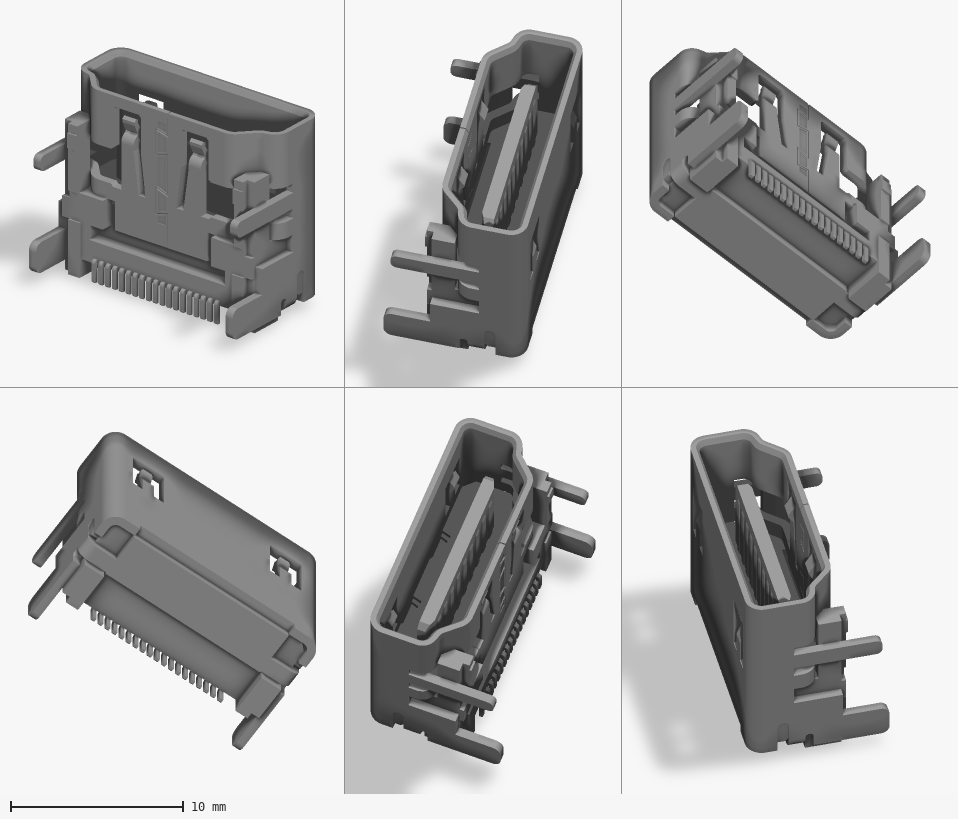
import cadquery as cq
import math


half_width = 7.5
part_top = 12.15
shell_depth = 5.55
wall = 0.52
shell_bottom = 0.68
shell_skirt = 5.38
corner_radius = 0.99
waist_radius = 0.5
front_radius = 1.05
shoulder_y = -3.92
waist_x, waist_y = 6.3, -4.25
front_half_width = 5.08
rim_land = 0.33
rim_depth = 0.33

tab_half_width = 3.38
tab_bottom = 3.52
seam_right, seam_left = 0.5, -0.39
seam_gap = 0.08
coin_left, coin_right = -0.25, 0.38
coin_bottom, coin_top = 4.92, 11.46
coin_depth = 0.05
coin_margin = 0.14
window_bottom, window_top = 6.44, 8.67
window_back = -2.68
window_inner_x = 3.68

spring_root = 6.27
spring_outer_x, spring_inner_x = 2.92, 2.02
spring_root_inner_x = 1.65
front_bend = 9.28
flare_top = 9.0

back_window_inner_x, back_window_outer_x = 3.76, 5.98
back_window_top = 9.75
back_spring_width = 0.81
back_spring_tip = 9.42
back_spring_clip_width, back_spring_clip_height = 0.18, 0.27

strap_bottom, strap_top = 7.05, 8.07
strap_end = -7.96
strap_radius = 0.38
leg_end = -8.38
leg_bottom, leg_top = 0.63, 2.6
leg_radius = 0.51
plate_end = -5.61
plate_top = 4.25
long_slot_back, long_slot_front, long_slot_top = -1.71, -2.37, 2.8
short_slot_back, short_slot_front, short_slot_top = -3.36, -3.87, 1.58
bend_radius = 0.69
floor_plate_bottom = 0.57
floor_plate_half_width = 5.48
floor_plate_back = -0.6
floor_plate_front = -3.45

housing_half_width = half_width - wall
housing_front = -5.92
housing_bottom = 1.17
housing_floor = 5.37
housing_back_chamfer = 0.63
post_front = -6.06
post_top = 9.68
post_inner_x = 5.76
post_outer_x = 6.44
post_back = -4.28
post_slope = 0.58
foot_inner_x = 5.6
foot_back = -3.46
step_y = -5.65
step_bottom = 4.86
crush_rib_front = -6.18
crush_rib_bottom, crush_rib_top = 8.16, 9.1
tab_pocket_half_width = 3.99
tab_pocket_back = -5.05
slot_half_width = 5.0
slot_bottom = 2.58
floor_bevel_back = -4.8
side_key_bottom = 1.29
side_key_chamfer = 0.21
side_key_inset = 0.05
key_center_x = 2.3
key_back_half_width, key_front_half_width = 0.98, 0.81
key_front = -1.11
key_depth = 0.3
key_step = 0.22

tongue_half_width = 5.38
tongue_flat_half_width = 4.68
tongue_back, tongue_shoulder, tongue_front = -2.38, -2.88, -3.2
tongue_top = 10.12
tongue_end_bevel = 0.36
contact_pitch = 3 / 3
back_contact_count, front_contact_count = 10, 9
contact_width = 0.45
contact_height = 0.06
contact_top = 9.39
contact_tip = 0.24
tail_count = back_contact_count + front_contact_count
tail_width = 0.25
tail_bottom, tail_top = 0.05, 1.5
tail_front = -6.18
tail_bend = 0.24
tail_tip = 0.08


def block(x0, x1, y0, y1, z0, z1):
    """Box between two corners given as coordinate ranges."""
    return cq.Workplane("XY").box(x1 - x0, y1 - y0, z1 - z0, centered=False).translate((x0, y0, z0))


def plan_prism(points, z0, z1):
    """Prism over an XY outline."""
    return cq.Workplane("XY").workplane(offset=z0).polyline(points).close().extrude(z1 - z0)


def front_prism(points, y_front, y_back):
    """Prism over an XZ outline, running in Y."""
    return cq.Workplane("XZ", origin=(0, y_front, 0)).polyline(points).close().extrude(y_front - y_back)


def side_prism(points, x0, x1):
    """Prism over a YZ outline, running in X."""
    return cq.Workplane("YZ").workplane(offset=x0).polyline(points).close().extrude(x1 - x0)


def both_sides(shape):
    """The shape together with its mirror image across X = 0."""
    return shape.union(shape.mirror("YZ"))


def merge(shapes):
    """Union of all the shapes."""
    solids = [shape.val() for shape in shapes]
    return cq.Workplane(solids[0].fuse(*solids[1:]))


def shell_core(inset, z0, z1, taper=0):
    """Prism over the shell outline, offset inwards by the inset."""
    corners = [
        (half_width, 0, corner_radius),
        (half_width, shoulder_y, corner_radius),
        (waist_x, waist_y, waist_radius),
        (front_half_width, -shell_depth, front_radius),
    ]
    right = [(x, y) for x, y, radius in corners]
    left = [(-x, y) for x, y in reversed(right)]
    prism = plan_prism(right + left, 0, 0.15)
    for x, y, radius in corners:
        for side in (1, -1):
            edge = cq.selectors.NearestToPointSelector((side * x, y, 0.08))
            prism = prism.edges("|Z").edges(edge).fillet(radius)
    outline = prism.faces("<Z").wires().val()
    if inset:
        outline = outline.offset2D(-inset)[0]
    outline = outline.translate(cq.Vector(0, 0, z0))
    return cq.Workplane("XY").add(outline).toPending().extrude(z1 - z0, taper=taper)


def shell_tube():
    tube = shell_core(0, shell_bottom, part_top).cut(shell_core(wall, shell_bottom, part_top))
    rim_taper = math.degrees(math.atan((wall - rim_land) / rim_depth))
    lead_in = shell_core(rim_land, 0, rim_depth, rim_taper).mirror("XY").translate((0, 0, part_top))
    below_skirt = block(-half_width, half_width, -shell_depth, window_back, 0, shell_skirt)
    centre_tab = block(
        -tab_half_width, tab_half_width, -shell_depth, wall - shell_depth, tab_bottom, shell_skirt
    )
    back_gap = block(-floor_plate_half_width, floor_plate_half_width, -wall, 0, 0, housing_bottom)
    return tube.cut(lead_in).cut(below_skirt).union(centre_tab).cut(back_gap)


def corner_window():
    """Opening that wraps from the side wall around to the front wall."""
    return block(window_inner_x, half_width, -shell_depth, window_back, window_bottom, window_top)


def front_spring_opening():
    outline = [
        (window_inner_x, window_top), (3.48, 8.82), (3.48, 11.3), (3.33, 11.45), (1.64, 11.45), (1.48, 11.3),
        (1.48, flare_top), (1.14, spring_root), (3.52, spring_root), (window_inner_x, window_bottom),
    ]
    return front_prism(outline, -shell_depth, wall - shell_depth)


def front_spring():
    """Flared blade in the plane of the wall, with a head that dips inwards and back out."""
    blade = [
        (spring_outer_x, spring_root), (spring_outer_x, front_bend), (spring_inner_x, front_bend),
        (spring_inner_x, flare_top), (spring_root_inner_x, spring_root),
    ]
    blade_body = front_prism(blade, -shell_depth, wall - shell_depth)
    head = (
        cq.Workplane("YZ", origin=(spring_inner_x, 0, 0))
        .moveTo(-shell_depth, front_bend)
        .threePointArc((-5.46, 9.6), (-5.18, 9.84))
        .lineTo(-5.13, 9.95)
        .lineTo(-5.43, 10.56)
        .lineTo(-5.46, 10.78)
        .lineTo(-5.28, 10.95)
        .lineTo(-5.13, 10.86)
        .lineTo(-5.1, 10.59)
        .lineTo(-4.7, 9.95)
        .lineTo(-4.7, 9.84)
        .lineTo(wall - shell_depth, front_bend)
        .close()
        .extrude(spring_outer_x - spring_inner_x)
    )
    return blade_body.union(head)


def back_spring_opening():
    return block(back_window_inner_x, back_window_outer_x, -wall, 0, spring_root, back_window_top)


def back_spring():
    """Straight blade in the back wall whose head dips inwards and back out to a clipped tip."""
    profile = [
        (0, spring_root), (0, 7.65), (-0.38, 8.55), (-0.1, 9.3),
        (-0.48, back_spring_tip), (-0.8, 8.76), (-0.8, 8.55), (-wall, 7.8), (-wall, spring_root),
    ]
    half = back_spring_width / 2
    blade = side_prism(profile, -half, half)
    clip = [
        (half, back_spring_tip - back_spring_clip_height), (half, back_spring_tip),
        (half - back_spring_clip_width, back_spring_tip),
    ]
    blade = blade.cut(both_sides(front_prism(clip, -wall, 0)))
    center_x = (back_window_inner_x + back_window_outer_x) / 2
    return blade.translate((center_x, 0, 0))


def seam_strip(half_gap):
    """Prism along the dovetailed joint of the front wall."""
    path = [
        (seam_right, part_top + coin_margin), (seam_right, 10.65), (seam_left, 10.89), (seam_left, 9.24),
        (seam_right, 9.5), (seam_right, 6.84), (seam_left, 7.14), (seam_left, 5.46),
        (seam_right, 5.75), (seam_right, tab_bottom - coin_margin),
    ]
    line = cq.Workplane("XZ", origin=(0, wall - shell_depth, 0)).polyline(path)
    return line.offset2D(half_gap, "arc").extrude(wall)


def coined_strip():
    strip = block(coin_left, coin_right, -shell_depth, coin_depth - shell_depth, coin_bottom, coin_top)
    return strip.cut(seam_strip(coin_margin))


def round_slot(y_front, y_back, z_top):
    """Vertical slot in a side wall, open at the bottom and round at the top."""
    radius = (y_back - y_front) / 2
    x_inner = half_width - wall
    straight = block(x_inner, half_width, y_front, y_back, 0, z_top - radius)
    cap = cq.Workplane("YZ", origin=(x_inner, 0, 0)).center(y_back - radius, z_top - radius)
    return straight.union(cap.circle(radius).extrude(wall))


def strap():
    bar = block(half_width - wall, half_width, strap_end, window_back, strap_bottom, strap_top)
    return bar.edges("|X and <Y").fillet(strap_radius)


def leg():
    """Side plate below the skirt with its long solder leg."""
    profile = [
        (window_back, plate_top), (plate_end, plate_top), (plate_end, leg_top), (leg_end, leg_top),
        (leg_end, leg_bottom), (short_slot_front, leg_bottom), (short_slot_front, shell_bottom),
        (window_back, shell_bottom),
    ]
    plate = side_prism(profile, half_width - wall, half_width)
    return plate.edges("|X and <Y").fillet(leg_radius)


def bent_tab():
    """Tab of the side wall folded in under the housing."""
    bend_z = floor_plate_bottom + bend_radius
    bend_x = half_width - bend_radius
    inner_radius = bend_radius - wall
    diagonal = math.sqrt(0.5)
    section = (
        cq.Workplane("XZ", origin=(0, long_slot_front, 0))
        .moveTo(half_width, bend_z)
        .threePointArc(
            (bend_x + bend_radius * diagonal, bend_z - bend_radius * diagonal), (bend_x, floor_plate_bottom)
        )
        .lineTo(0, floor_plate_bottom)
        .lineTo(0, floor_plate_bottom + wall)
        .lineTo(bend_x, floor_plate_bottom + wall)
        .threePointArc(
            (bend_x + inner_radius * diagonal, bend_z - inner_radius * diagonal), (half_width - wall, bend_z)
        )
        .close()
    )
    return section.extrude(long_slot_front - short_slot_back)


def tab_clearance():
    """Room in the side wall for the bend of the folded tab."""
    return block(
        half_width - wall, half_width, short_slot_back, long_slot_front, 0, floor_plate_bottom + bend_radius
    )


def floor_plate():
    return block(
        -floor_plate_half_width, floor_plate_half_width, floor_plate_front, floor_plate_back,
        floor_plate_bottom, floor_plate_bottom + wall,
    )


def metal_shell():
    openings = merge([corner_window(), front_spring_opening(), back_spring_opening()])
    shell = shell_tube().cut(both_sides(openings))
    shell = shell.union(both_sides(leg()))
    slots = merge([
        round_slot(long_slot_front, long_slot_back, long_slot_top),
        round_slot(short_slot_front, short_slot_back, short_slot_top),
        tab_clearance(),
    ])
    shell = shell.cut(both_sides(slots)).cut(coined_strip()).cut(seam_strip(seam_gap / 2))
    added = merge([strap(), front_spring(), back_spring(), bent_tab()])
    return shell.union(both_sides(added)).union(floor_plate())


def main_block():
    body = block(
        -housing_half_width, housing_half_width, housing_front, -wall, housing_bottom, housing_floor
    )
    return body.edges("|Z and >Y").chamfer(housing_back_chamfer)


def post():
    """Upright beside the front of the shell, with a crush rib on its front."""
    outline = [
        (housing_half_width, post_back), (post_inner_x + post_slope, post_back),
        (post_inner_x, post_back - post_slope),
        (post_inner_x, post_front), (post_outer_x, post_front), (post_outer_x, step_y),
        (housing_half_width, step_y),
    ]
    rib = block(post_inner_x, post_outer_x, crush_rib_front, post_front, crush_rib_bottom, crush_rib_top)
    return plan_prism(outline, housing_floor, post_top).union(rib)


def foot():
    wide = block(foot_inner_x, housing_half_width, step_y, foot_back, 0, tab_bottom)
    front = block(foot_inner_x, post_outer_x, post_front, step_y, 0, tab_bottom)
    return wide.union(front)


def corner_steps():
    """Recessed outer corners above and below the plain front block."""
    lower = block(post_outer_x, housing_half_width, housing_front, step_y, 0, tab_bottom)
    upper = block(post_outer_x, housing_half_width, housing_front, step_y, step_bottom, housing_floor)
    return lower.union(upper)


def tab_pocket():
    """Recess behind the front tab of the shell, with a bevel up to the cavity floor."""
    profile = [
        (housing_front, tab_bottom), (tab_pocket_back, tab_bottom), (tab_pocket_back, step_bottom),
        (floor_bevel_back, housing_floor), (housing_front, housing_floor),
    ]
    return side_prism(profile, -tab_pocket_half_width, tab_pocket_half_width)


def front_slot():
    return block(-slot_half_width, slot_half_width, housing_front, tab_pocket_back, slot_bottom, tab_bottom)


def side_key():
    """Key of the housing that fills the long slot of the side wall, just below flush."""
    key = round_slot(long_slot_front, long_slot_back, long_slot_top)
    lower_end = [
        (long_slot_back, 0), (long_slot_back, side_key_bottom),
        (long_slot_front + side_key_chamfer, side_key_bottom),
        (long_slot_front, side_key_bottom + side_key_chamfer), (long_slot_front, 0),
    ]
    key = key.cut(side_prism(lower_end, housing_half_width, half_width))
    return key.translate((-side_key_inset, 0, 0))


def floor_key(inset, depth):
    """Tapered notch in the rear edge of the cavity floor."""
    back_half = key_back_half_width - inset
    front_half = key_front_half_width - inset
    front = key_front + inset / 2
    outline = [
        (key_center_x - back_half, -wall), (key_center_x - front_half, front),
        (key_center_x + front_half, front), (key_center_x + back_half, -wall),
    ]
    return plan_prism(outline, housing_floor - depth, housing_floor)


def housing():
    body = main_block().cut(both_sides(corner_steps())).cut(tab_pocket()).cut(front_slot())
    keys = floor_key(0, key_depth).union(floor_key(key_step, 2 * key_depth))
    body = body.cut(both_sides(keys))
    return body.union(both_sides(merge([post(), foot(), side_key()])))


def tongue():
    outline = [
        (tongue_half_width, tongue_back), (tongue_half_width, tongue_shoulder),
        (tongue_flat_half_width, tongue_front), (-tongue_flat_half_width, tongue_front),
        (-tongue_half_width, tongue_shoulder), (-tongue_half_width, tongue_back),
    ]
    bevel = [
        (tongue_half_width, tongue_top - tongue_end_bevel), (tongue_half_width, tongue_top),
        (tongue_half_width - tongue_end_bevel, tongue_top),
    ]
    body = plan_prism(outline, housing_floor, tongue_top)
    return body.cut(both_sides(front_prism(bevel, tongue_front, tongue_back)))


def contact_row(count, face_y, outward):
    """Flat contacts along one face of the tongue; outward is the Y direction they stand out in."""
    profile = [
        (face_y, housing_floor), (face_y + outward * contact_height, housing_floor),
        (face_y + outward * contact_height, contact_top - contact_tip), (face_y, contact_top),
    ]
    first = -contact_pitch * (count - 1) / 2
    centers = [first + contact_pitch * i for i in range(count)]
    return [side_prism(profile, x - contact_width / 2, x + contact_width / 2) for x in centers]


def tails():
    pitch = contact_pitch / 2
    first = -pitch * (tail_count - 1) / 2
    pin = block(-tail_width / 2, tail_width / 2, tail_front, housing_front, tail_bottom, tail_top)
    pin = pin.edges("|X and <Y and >Z").fillet(tail_bend).edges("|X and <Y and <Z").chamfer(tail_tip)
    return [pin.translate((first + pitch * i, 0, 0)) for i in range(tail_count)]


contacts = contact_row(back_contact_count, tongue_back, 1) + contact_row(front_contact_count, tongue_front, -1)
result = merge([housing(), metal_shell(), tongue()] + contacts + tails())